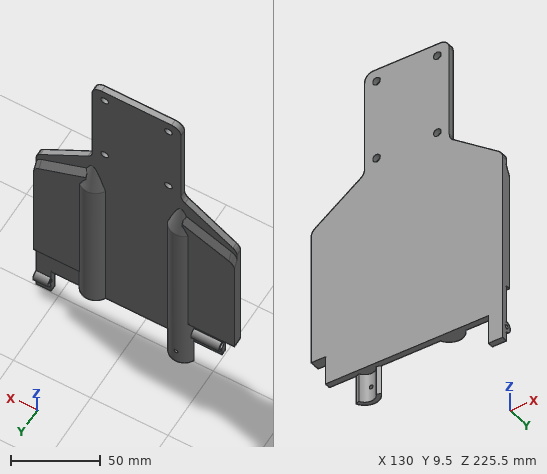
import cadquery as cq
import math

width = 130.0
height = 225.5
plate_thickness = 4.0
neck_width = 57.5
shoulder_low = 130.1
shoulder_high = 155.6
corner_radius = 6.0
step_width = 9.7
step_height = 38.5
bottom_height = 19.5
center_x = width / 2
neck_left = center_x - neck_width / 2
neck_right = center_x + neck_width / 2

mount_diameter = 5.0
mount_spacing_x = 41.3
mount_spacing_z = 54.1
mount_top = 217.5

wing_back = 7.0
wing_outer_top = 126.0
wing_slope_drop = 5.6
wing_top_slope = 0.46
wing_inner_edge = 33.8

rib_radius = 9.5
rib_wall = 3.0
rib_offset = center_x - 36.3
rib_cone_base = 127.0
rib_cone_top = 146.0
rib_half_width = math.sqrt(rib_radius**2 - plate_thickness**2)
spout_hole_diameter = 2.5
spout_hole_height = 10.0

barrel_radius = 3.5
left_hinge_hole_diameter = 4.5
right_hinge_hole_diameter = 2.5
hinge_hole_depth = step_width
left_barrel_height = 28.6
right_barrel_height = 10.0


def make_plate():
    outline = [
        (0, step_height),
        (step_width, step_height),
        (step_width, bottom_height),
        (width - step_width, bottom_height),
        (width - step_width, 0),
        (width, 0),
        (width, shoulder_low),
        (neck_right, shoulder_high),
        (neck_right, height),
        (neck_left, height),
        (neck_left, shoulder_high),
        (0, shoulder_low),
    ]
    plate = cq.Workplane("XZ").polyline(outline).close().extrude(-plate_thickness)
    above_shoulders = cq.selectors.BoxSelector(
        (-2.3, -2.3, shoulder_low - 2.3), (width + 2.3, plate_thickness + 2.3, height + 2.3)
    )
    plate = plate.edges("|Y").edges(above_shoulders).fillet(corner_radius)
    holes = (
        cq.Workplane("XZ", origin=(center_x, 0, mount_top - mount_spacing_z / 2))
        .rarray(mount_spacing_x, mount_spacing_z, 2, 2)
        .circle(mount_diameter / 2)
        .extrude(-plate_thickness)
    )
    return plate.cut(holes)


def make_left_wing():
    """Slab between the left edge and the rib, with a beveled top that rises toward the rib."""
    slope_angle = math.atan(wing_top_slope)
    tangent_length = corner_radius * math.tan((math.pi / 2 - slope_angle) / 2)
    arc_end_x = tangent_length * math.cos(slope_angle)

    def section(y, corner_top):
        return (
            cq.Workplane("XZ", origin=(0, y, 0))
            .moveTo(wing_inner_edge, step_height)
            .lineTo(0, step_height)
            .lineTo(0, corner_top - tangent_length)
            .tangentArcPoint((arc_end_x, corner_top + wing_top_slope * arc_end_x), relative=False)
            .lineTo(wing_inner_edge, corner_top + wing_top_slope * wing_inner_edge)
            .close()
            .val()
        )

    front = section(plate_thickness, wing_outer_top)
    back = section(wing_back, wing_outer_top - wing_slope_drop)
    return cq.Workplane("XY").newObject([cq.Solid.makeLoft([front, back], True)])


def make_rib(x):
    """Cylinder segment behind the plate, ending at the top in a cone."""
    profile = [
        (0, bottom_height),
        (rib_radius, bottom_height),
        (rib_radius, rib_cone_base),
        (plate_thickness, rib_cone_top),
        (0, rib_cone_top),
    ]
    rib = (
        cq.Workplane("XZ", origin=(x, 0, 0))
        .polyline(profile)
        .close()
        .revolve(360, (0, 0, 0), (0, 1, 0))
    )
    behind_plate = cq.Workplane("XY").box(
        2 * rib_radius, rib_radius, height, centered=(True, False, False)
    )
    return rib.intersect(behind_plate.translate((x, plate_thickness, 0)))


def make_spout(x):
    """Open gutter with radial end faces, continuing the left rib below the plate."""
    ring = (
        cq.Workplane("XY", origin=(x, 0, 0))
        .circle(rib_radius)
        .circle(rib_radius - rib_wall)
        .extrude(bottom_height)
    )
    reach = 2
    sector = (
        cq.Workplane("XY", origin=(x, 0, 0))
        .moveTo(0, 0)
        .lineTo(reach * rib_half_width, reach * plate_thickness)
        .lineTo(reach * rib_half_width, reach * rib_radius)
        .lineTo(-reach * rib_half_width, reach * rib_radius)
        .lineTo(-reach * rib_half_width, reach * plate_thickness)
        .close()
        .extrude(bottom_height)
    )
    hole = (
        cq.Workplane("XZ", origin=(x, 0, spout_hole_height))
        .circle(spout_hole_diameter / 2)
        .extrude(-2 * rib_radius)
    )
    return ring.intersect(sector).cut(hole)


def x_cylinder(x, z, radius, length):
    return cq.Workplane("YZ", origin=(x, plate_thickness, z)).circle(radius).extrude(length)


left_rib_x = center_x - rib_offset
right_rib_x = center_x + rib_offset
left_wing = make_left_wing()
right_wing = left_wing.mirror("YZ", (center_x, 0, 0))

result = make_plate().union(left_wing).union(right_wing)
result = result.union(make_rib(left_rib_x)).union(make_rib(right_rib_x))
result = result.union(make_spout(left_rib_x))

left_barrel_length = left_rib_x - rib_half_width - step_width
barrels = [
    (step_width, left_barrel_height, left_barrel_length, left_hinge_hole_diameter),
    (width - step_width, right_barrel_height, step_width, right_hinge_hole_diameter),
]
for barrel_x, barrel_z, barrel_length, hole_diameter in barrels:
    result = result.union(x_cylinder(barrel_x, barrel_z, barrel_radius, barrel_length))
    result = result.cut(x_cylinder(barrel_x, barrel_z, hole_diameter / 2, hinge_hole_depth))